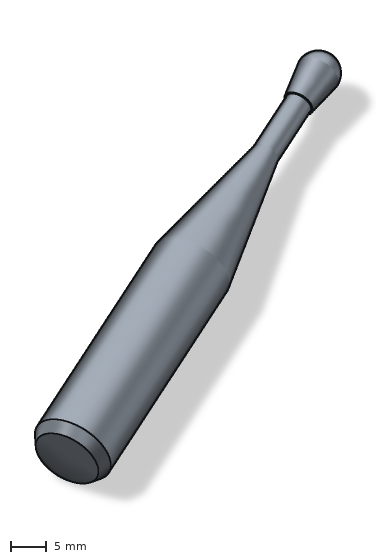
import cadquery as cq
import math

total_length = 80.0
shank_radius = 6.0

chamfer_length = 1.8
chamfer_depth = 1.0

shank_end = 38.0
neck_start = 60.6
neck_end = 70.7

neck_radius = 2.0
head_base_radius = 2.2
ball_radius = 3.2

ball_center = total_length - ball_radius
arc_middle = ball_radius * math.sqrt(0.5)

profile = (
    cq.Workplane("XY")
    .moveTo(0, 0)
    .lineTo(shank_radius - chamfer_depth, 0)
    .lineTo(shank_radius, chamfer_length)
    .lineTo(shank_radius, shank_end)
    .lineTo(neck_radius, neck_start)
    .lineTo(neck_radius, neck_end)
    .lineTo(head_base_radius, neck_end)
    .lineTo(ball_radius, ball_center)
    .threePointArc((arc_middle, ball_center + arc_middle), (0, total_length))
    .close()
)

result = profile.revolve(360, (0, 0, 0), (0, 1, 0))